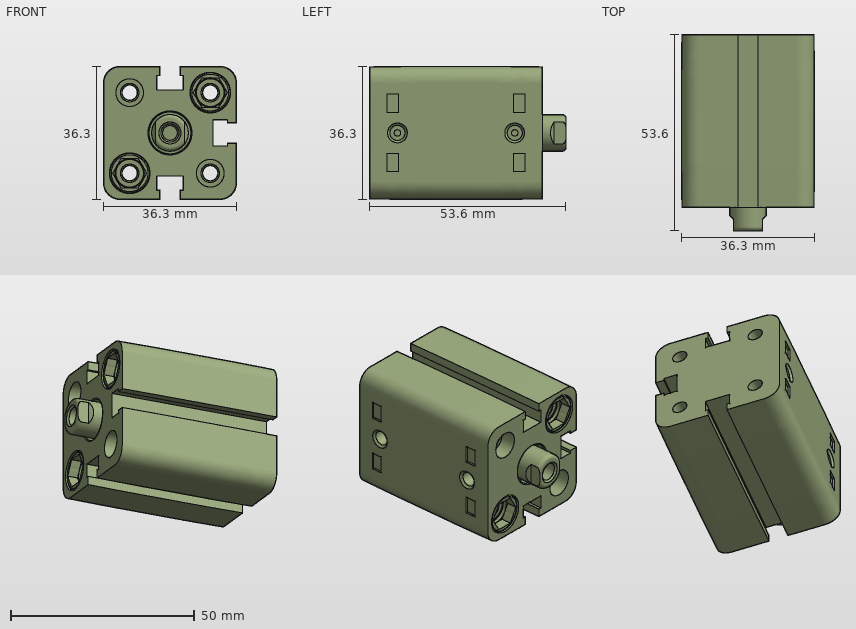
import cadquery as cq
import math


overall_length = 53.6
body_width = 36.3
body_length = 47.1
cap_length = 11.75
cap_inset = 0.1
corner_radius = 4.5
tube_length = body_length - 2 * cap_length

slot_mouth_width = 5.5
slot_inner_width = 7.15
slot_lip_depth = 2.5
slot_depth = 6.4

hole_offset = 11.0
through_diameter = 4.15
through_mouth_diameter = 5.05
counterbore_diameter = 7.55
counterbore_depth = 4.5

nut_bore_diameter = 11.1
nut_diameter = 10.8
nut_rim_diameter = 10.0
nut_face_depth = 0.2
nut_gap_depth = 0.75
socket_across_flats = 8.05
socket_bore_diameter = 8.0
socket_relief_diameter = 8.15
socket_depth = 3.2

rod_diameter = 10.0
rod_length = overall_length - body_length
rod_end_radius = 1.1
rod_flat_width = 8.0
rod_flat_length = 3.25
rod_recess_diameter = 11.4
rod_recess_mouth_diameter = 12.0
rod_recess_depth = 2.7
rod_bore_diameter = 4.95
rod_bore_mouth_diameter = 6.0
rod_bore_floor_diameter = 4.0
rod_bore_depth = 10.7

port_distance = 7.55
port_diameter = 4.15
port_mouth_diameter = 5.45
port_depth = 4.3
port_passage_diameter = 1.75
port_passage_depth = 6.45

label_length = 3.15
label_height = 5.0
label_offset = 8.1
label_distance = 6.3
label_depth = 0.65


def revolved(profile, x=0.0, z=0.0):
    """Turn (radius, y) points about an axis along Y through (x, z)."""
    solid = cq.Workplane("XY").polyline(profile).close().revolve(360, (0, 0, 0), (0, 1, 0))
    return solid.translate((x, 0, z))


def chamfered_bore(diameter, mouth_diameter, start, end):
    """Profile of a bore along Y from start to end, with a 45 degree chamfer at its start."""
    radius = diameter / 2
    mouth_radius = mouth_diameter / 2
    chamfer_end = start + mouth_radius - radius
    return [(0, start), (mouth_radius, start), (radius, chamfer_end), (radius, end), (0, end)]


def section(y):
    """Rounded square body section at the given Y."""
    return (
        cq.Workplane("XZ", origin=(0, y, 0))
        .sketch().rect(body_width, body_width).vertices().fillet(corner_radius).finalize()
    )


def make_body():
    """Straight tube between two end caps that narrow slightly toward their outer ends."""
    lean = math.degrees(math.atan(cap_inset / cap_length))
    tube_end = cap_length + tube_length
    front_cap = section(cap_length).extrude(cap_length, taper=lean)
    tube = section(cap_length).extrude(-tube_length)
    rear_cap = section(tube_end).extrude(-cap_length, taper=lean)
    return front_cap.union(tube).union(rear_cap)


def make_slot():
    """T-slot in the top side, running the whole body length."""
    floor = body_width / 2 - slot_depth
    inner_height = slot_depth - slot_lip_depth
    mouth = cq.Workplane("XY").box(slot_mouth_width, body_length, slot_depth, centered=(True, False, False))
    inner = cq.Workplane("XY").box(slot_inner_width, body_length, inner_height, centered=(True, False, False))
    return mouth.union(inner).translate((0, 0, floor))


def cut_mounting_hole(body, x, z):
    """Through hole with a chamfered mouth at the floor of a front counterbore."""
    through = chamfered_bore(through_diameter, through_mouth_diameter, counterbore_depth, body_length)
    counterbore = cq.Workplane("XZ").center(x, z).circle(counterbore_diameter / 2).extrude(-counterbore_depth)
    return body.cut(revolved(through, x, z)).cut(counterbore)


def cut_socket_nut(body, x, z):
    """Sunk nut face with a ring groove around its rim, and a relieved hexagon socket inside it."""
    bore_radius = nut_bore_diameter / 2
    nut_radius = nut_diameter / 2
    rim_radius = nut_rim_diameter / 2
    rim_recess = [
        (0, 0),
        (bore_radius, 0),
        (bore_radius, nut_gap_depth),
        (nut_radius, nut_gap_depth),
        (nut_radius, nut_face_depth + nut_radius - rim_radius),
        (rim_radius, nut_face_depth),
        (0, nut_face_depth),
    ]
    socket_radius = socket_bore_diameter / 2
    floor_radius = counterbore_diameter / 2
    socket_bore = [
        (0, 0),
        (socket_radius, 0),
        (socket_radius, counterbore_depth - (socket_radius - floor_radius)),
        (floor_radius, counterbore_depth),
        (0, counterbore_depth),
    ]
    across_corners = socket_across_flats / math.cos(math.pi / 6)
    face = cq.Workplane("XZ").center(x, z)
    hexagon = face.polygon(6, across_corners).extrude(-socket_depth)
    relief = face.circle(socket_relief_diameter / 2).extrude(-socket_depth)
    body = body.cut(revolved(rim_recess, x, z)).cut(revolved(socket_bore, x, z))
    return body.cut(hexagon).cut(relief)


def make_rod():
    """Rod with a rounded end and two parallel wrench flats that run out at 45 degrees."""
    rod = (
        cq.Workplane("XZ", origin=(0, rod_recess_depth, 0))
        .circle(rod_diameter / 2).extrude(rod_recess_depth + rod_length)
        .faces("<Y").edges().fillet(rod_end_radius)
    )
    flat_x = rod_flat_width / 2
    rod_radius = rod_diameter / 2
    flat_end = rod_flat_length - rod_length
    runout_end = flat_end + rod_radius - flat_x
    flat_profile = [
        (flat_x, -rod_length),
        (rod_radius, -rod_length),
        (rod_radius, runout_end),
        (flat_x, flat_end),
    ]
    flat = cq.Workplane("XY").polyline(flat_profile).close().extrude(rod_radius, both=True)
    return rod.cut(flat).cut(flat.mirror("YZ"))


def make_rod_bore():
    """Blind bore in the rod end, narrowing by a short cone at its floor."""
    floor = rod_bore_depth - rod_length
    floor_radius = rod_bore_floor_diameter / 2
    cone_end = floor + rod_bore_diameter / 2 - floor_radius
    bore = chamfered_bore(rod_bore_diameter, rod_bore_mouth_diameter, -rod_length, floor)
    bore[-1:] = [(floor_radius, cone_end), (0, cone_end)]
    return revolved(bore)


def make_port(y):
    """Chamfered port with a narrow air passage, entering from the -X side at the given Y."""
    drill = revolved(chamfered_bore(port_diameter, port_mouth_diameter, 0, port_depth))
    passage = cq.Workplane("XZ").circle(port_passage_diameter / 2).extrude(-port_passage_depth)
    port = drill.union(passage).rotate((0, 0, 0), (0, 0, 1), -90)
    return port.translate((-body_width / 2, y, 0))


def make_label_recess(y, z):
    """Rectangular pocket block for the -X side, half of it inside the body."""
    label = cq.Workplane("XY").box(2 * label_depth, label_length, label_height)
    return label.translate((-body_width / 2, y, z))


result = make_body()

slot = make_slot()
for angle in (0, 90, 180):
    result = result.cut(slot.rotate((0, 0, 0), (0, 1, 0), angle))

for x_side in (-1, 1):
    for z_side in (-1, 1):
        x = x_side * hole_offset
        z = z_side * hole_offset
        result = cut_mounting_hole(result, x, z)
        if x_side == z_side:
            result = cut_socket_nut(result, x, z)

recess = chamfered_bore(rod_recess_diameter, rod_recess_mouth_diameter, 0, rod_recess_depth)
result = result.cut(revolved(recess)).union(make_rod()).cut(make_rod_bore())

for y in (port_distance, body_length - port_distance):
    result = result.cut(make_port(y))

for y in (label_distance, body_length - label_distance):
    for z in (-label_offset, label_offset):
        result = result.cut(make_label_recess(y, z))